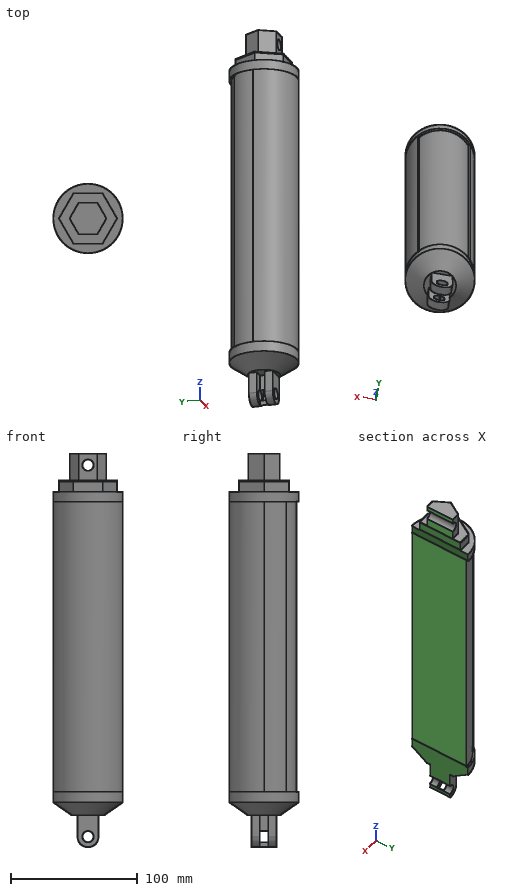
import cadquery as cq
import math

TOTAL_LENGTH = 310.2
FLANGE_TOP = 289.0
NUT_TOP = 288.2
NUT_BOTTOM = 280.0
TOP_CAP_BOTTOM = 272.5
TUBE_BOTTOM = 43.7
CONE_TOP = 35.5
CONE_BOTTOM = 25.0

BODY_DIAMETER = 55.0
REAR_DIAMETER = 54.5
RELIEF_DEPTH = 1.5
RELIEF_ANGLE = 100.0
CONE_SMALL_DIAMETER = 25.5

ROD_FLATS = 25.0
NUT_FLATS = 39.7

PIN_HOLE_DIAMETER = 8.7
ROD_HOLE_Z = 301.2
CLEVIS_WIDTH = 16.8
CLEVIS_DEPTH = 20.0
SLOT_WIDTH = 6.5
WEB_THICKNESS = 0.5


def hexagon(flats, bottom, top):
    """Hexagonal prism with corners on the X axis."""
    corners = flats / math.cos(math.pi / 6)
    return cq.Workplane("XY").workplane(offset=bottom).polygon(6, corners).extrude(top - bottom)


def cylinder(diameter, bottom, top):
    return cq.Workplane("XY").workplane(offset=bottom).circle(diameter / 2).extrude(top - bottom)


def cross_hole(z):
    """Pin hole cutter running along Y through the axis."""
    return (
        cq.Workplane("XZ").center(0, z).circle(PIN_HOLE_DIAMETER / 2)
        .extrude(BODY_DIAMETER / 2, both=True)
    )


def make_rod_end():
    """Drilled hexagonal rod end with a thin flange matching the nut."""
    flange = hexagon(NUT_FLATS, NUT_TOP, FLANGE_TOP)
    rod = hexagon(ROD_FLATS, FLANGE_TOP, TOTAL_LENGTH).cut(cross_hole(ROD_HOLE_Z))
    return flange.union(rod)


def make_nut():
    return hexagon(NUT_FLATS, NUT_BOTTOM, NUT_TOP)


def make_top_cap():
    return cylinder(BODY_DIAMETER, TOP_CAP_BOTTOM, NUT_BOTTOM)


def sector(start_angle, end_angle):
    """Prism wedge around the axis, reaching beyond the tube; angles from +X."""
    reach = BODY_DIAMETER
    start, middle, end = (
        (reach * math.cos(math.radians(angle)), reach * math.sin(math.radians(angle)))
        for angle in (start_angle, (start_angle + end_angle) / 2, end_angle)
    )
    return (
        cq.Workplane("XY").workplane(offset=TUBE_BOTTOM)
        .moveTo(0, 0).lineTo(*start).threePointArc(middle, end).close()
        .extrude(TOP_CAP_BOTTOM - TUBE_BOTTOM)
    )


def make_tube():
    """Tube with a full-size front half, a slightly smaller rear half and a shallow rear relief."""
    tube = cylinder(BODY_DIAMETER, TUBE_BOTTOM, TOP_CAP_BOTTOM)
    rear_core = cylinder(REAR_DIAMETER, TUBE_BOTTOM, TOP_CAP_BOTTOM)
    relief_core = cylinder(REAR_DIAMETER - 2 * RELIEF_DEPTH, TUBE_BOTTOM, TOP_CAP_BOTTOM)
    rear_half = sector(0, 180)
    relief = sector(90 - RELIEF_ANGLE / 2, 90 + RELIEF_ANGLE / 2)
    return tube.cut(rear_half.cut(rear_core)).cut(relief.cut(relief_core))


def clevis_plate(depth):
    """Upright plate with a round lower end, centred on Y."""
    end_radius = CLEVIS_WIDTH / 2
    return (
        cq.Workplane("XZ")
        .moveTo(-end_radius, CONE_BOTTOM)
        .lineTo(-end_radius, end_radius)
        .threePointArc((0, 0), (end_radius, end_radius))
        .lineTo(end_radius, CONE_BOTTOM)
        .close()
        .extrude(depth / 2, both=True)
    )


def make_bottom_cap():
    """Lower cap with its cone and slotted clevis."""
    cap_radius = BODY_DIAMETER / 2
    cap = (
        cq.Workplane("XZ")
        .moveTo(0, CONE_BOTTOM)
        .lineTo(CONE_SMALL_DIAMETER / 2, CONE_BOTTOM)
        .lineTo(cap_radius, CONE_TOP)
        .lineTo(cap_radius, TUBE_BOTTOM)
        .lineTo(0, TUBE_BOTTOM)
        .close()
        .revolve(360, (0, 0, 0), (0, 1, 0))
    )
    web = cq.Workplane("XY").box(
        WEB_THICKNESS, SLOT_WIDTH, CONE_BOTTOM, centered=(True, True, False)
    )
    slot = clevis_plate(SLOT_WIDTH).cut(web)
    clevis = clevis_plate(CLEVIS_DEPTH).cut(slot).cut(cross_hole(CLEVIS_WIDTH / 2))
    return cap.union(clevis)


rod_end = make_rod_end()
nut = make_nut()
top_cap = make_top_cap()
tube = make_tube()
bottom_cap = make_bottom_cap()

result = cq.Compound.makeCompound(
    [rod_end.val(), nut.val(), top_cap.val(), tube.val(), bottom_cap.val()]
)